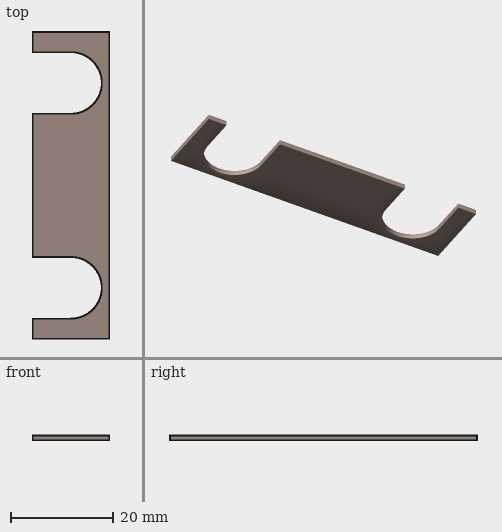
import cadquery as cq

plate_width = 15.0
plate_length = 60.0
plate_thickness = 1.0

slot_width = 12.0
slot_spacing = 40.0
slot_radius = slot_width / 2
slot_end_x = 0.0


def slot_cutter(center_y):
    """Solid that removes one slot, from the -X edge to its round end."""
    open_x = -plate_width / 2
    return (
        cq.Workplane("XY")
        .moveTo(open_x, center_y - slot_radius)
        .lineTo(slot_end_x, center_y - slot_radius)
        .threePointArc(
            (slot_end_x + slot_radius, center_y),
            (slot_end_x, center_y + slot_radius),
        )
        .lineTo(open_x, center_y + slot_radius)
        .close()
        .extrude(plate_thickness)
    )


result = cq.Workplane("XY").box(
    plate_width, plate_length, plate_thickness, centered=(True, True, False)
)
for side in (-1, 1):
    result = result.cut(slot_cutter(side * slot_spacing / 2))